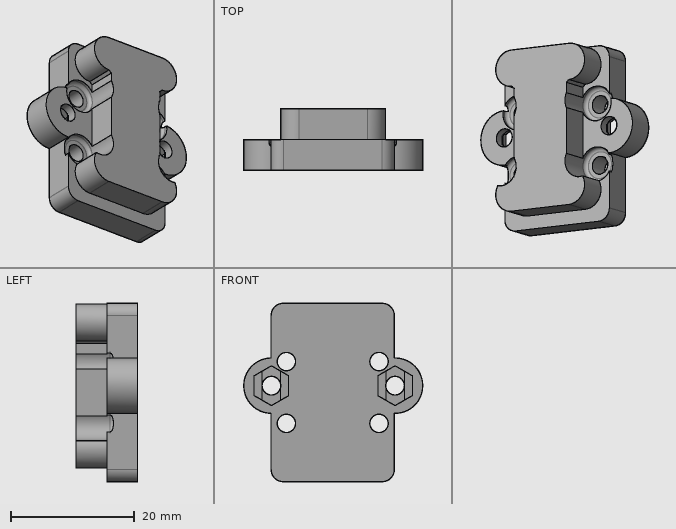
import cadquery as cq

plate_thickness = 5.0
boss_height = 5.02
front_y = -(plate_thickness + boss_height) / 2
joint_y = front_y + plate_thickness

plate_width = 19.98
plate_height = 28.9
plate_corner_radius = 2.0
plate_x = -0.1

lug_radius = 4.5
lug_x = 14.5 - lug_radius
lug_z = 1.1
lug_hole_diameter = 3.0
nut_across_corners = 6.45
nut_depth = 3.0
nut_step_depth = 0.3

screw_spacing_x = 15.0
screw_spacing_z = 10.0
screw_hole_diameter = 2.93
head_radius = 2.85
head_depth = 1.13
head_edge_radius = 0.65

bar_radius = 3.0
boss_width = 17.0
upper_bar_z = 11.35
lower_bar_z = -9.25
web_width = 10.03
web_flare_width = 10.95
web_flare_height = 0.44

screw_points = [
    (plate_x + side * screw_spacing_x / 2, level * screw_spacing_z / 2)
    for side in (-1, 1)
    for level in (-1, 1)
]


def sketch_plane(y):
    """XZ plane at the given Y, facing -Y."""
    return cq.Workplane(cq.Plane(origin=(0, y, 0), xDir=(1, 0, 0), normal=(0, -1, 0)))


def extrude_back(sketch, depth):
    """Extrude an outline toward +Y."""
    return sketch.extrude(-depth)


def make_plate():
    plate = extrude_back(
        sketch_plane(front_y).center(plate_x, 0).rect(plate_width, plate_height), plate_thickness
    )
    plate = plate.edges("|Y").fillet(plate_corner_radius)
    lug_points = [(-lug_x, lug_z), (lug_x, lug_z)]
    lugs = extrude_back(sketch_plane(front_y).pushPoints(lug_points).circle(lug_radius), plate_thickness)
    return plate.union(lugs)


def make_boss():
    bar_points = [(0, upper_bar_z), (0, lower_bar_z)]
    bars = extrude_back(
        sketch_plane(joint_y).pushPoints(bar_points).slot2D(boss_width, 2 * bar_radius), boss_height
    )
    lower_bar_top = lower_bar_z + bar_radius
    upper_bar_bottom = upper_bar_z - bar_radius
    right_side = [
        (web_flare_width / 2, lower_bar_z),
        (web_flare_width / 2, lower_bar_top),
        (web_width / 2, lower_bar_top + web_flare_height),
        (web_width / 2, upper_bar_bottom - web_flare_height),
        (web_flare_width / 2, upper_bar_bottom),
        (web_flare_width / 2, upper_bar_z),
    ]
    left_side = [(-x, z) for x, z in reversed(right_side)]
    web_outline = right_side + left_side
    web = extrude_back(sketch_plane(joint_y).polyline(web_outline).close(), boss_height)
    return bars.union(web)


def screw_cutter(x, z):
    """Through hole plus a head recess that also clears the boss."""
    hole = extrude_back(sketch_plane(front_y).center(x, z).circle(screw_hole_diameter / 2), plate_thickness)
    recess = extrude_back(
        sketch_plane(joint_y - head_depth).center(x, z).circle(head_radius), head_depth + boss_height
    )
    recess = recess.faces("<Y").edges().fillet(head_edge_radius)
    return hole.union(recess)


def nut_cutter(x):
    """Hexagonal pocket, a shallow slot across its floor, and a through hole."""
    def hexagon(depth):
        outline = sketch_plane(front_y).center(x, lug_z).polygon(6, nut_across_corners)
        return extrude_back(outline, depth).rotate((x, 0, lug_z), (x, 1, lug_z), 90)

    slot_depth = nut_depth + nut_step_depth
    strip = extrude_back(
        sketch_plane(front_y).center(x, lug_z).rect(lug_hole_diameter, nut_across_corners), slot_depth
    )
    step = hexagon(slot_depth).intersect(strip)
    hole = extrude_back(sketch_plane(front_y).center(x, lug_z).circle(lug_hole_diameter / 2), plate_thickness)
    return hexagon(nut_depth).union(step).union(hole)


result = make_plate().union(make_boss())
for screw_x, screw_z in screw_points:
    result = result.cut(screw_cutter(screw_x, screw_z))
for nut_x in (-lug_x, lug_x):
    result = result.cut(nut_cutter(nut_x))